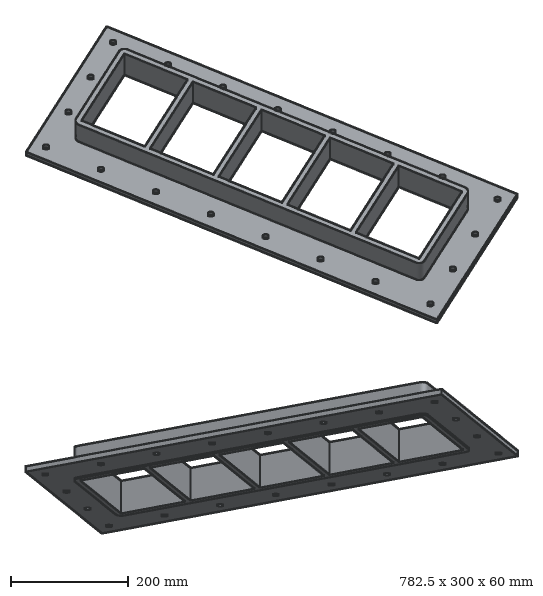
import cadquery as cq

plate_length = 782.5
plate_width = 300.0
plate_thickness = 10.0

wall = 10.0
cell_count = 5
cell_length = 120.5
cell_width = 160.0
frame_height = 60.0
frame_drop = 2.0
corner_radius = 10.0

frame_length = cell_count * cell_length + (cell_count + 1) * wall
frame_width = cell_width + 2 * wall

hole_diameter = 10.0
hole_edge_distance = 25.0
holes_along_length = 8
holes_along_width = 4


def spaced(count, span):
    """Evenly spaced positions over a span centred on zero, ends included."""
    return [span * (i / (count - 1) - 0.5) for i in range(count)]


def block(length, width, height, bottom):
    """Box centred in X and Y, with its underside at the given Z."""
    return (
        cq.Workplane("XY")
        .workplane(offset=bottom)
        .rect(length, width)
        .extrude(height)
    )


def rim_points():
    """Hole centres: full rows on the long sides, the rest on the short sides."""
    half_x = plate_length / 2 - hole_edge_distance
    half_y = plate_width / 2 - hole_edge_distance
    long_sides = [(x, y) for x in spaced(holes_along_length, 2 * half_x) for y in (-half_y, half_y)]
    between_corners = spaced(holes_along_width, 2 * half_y)[1:-1]
    short_sides = [(x, y) for y in between_corners for x in (-half_x, half_x)]
    return long_sides + short_sides


plate = block(plate_length, plate_width, plate_thickness, 0)
holes = (
    cq.Workplane("XY")
    .pushPoints(rim_points())
    .circle(hole_diameter / 2)
    .extrude(plate_thickness)
)

frame = block(frame_length, frame_width, frame_height, -frame_drop)
frame = frame.edges("|Z").fillet(corner_radius)

cell_pitch = cell_length + wall
cell_centres = [(x, 0) for x in spaced(cell_count, (cell_count - 1) * cell_pitch)]
cells = (
    cq.Workplane("XY")
    .workplane(offset=-frame_drop)
    .pushPoints(cell_centres)
    .rect(cell_length, cell_width)
    .extrude(frame_height)
)

result = plate.cut(holes).union(frame).cut(cells)